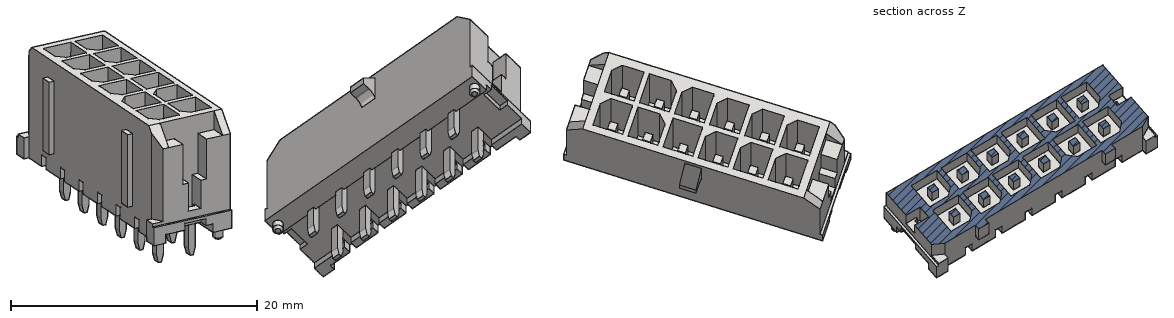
import cadquery as cq


length = 22.15
body_length = 21.7
core_length = 18.92
rear_y = 3.37
front_y = -3.5
proud_y = -3.96
height = 9.92
shoulder_z = 8.26
flange_height = 1.6
ear_height = 1.85
corner_bevel_x = 0.95
corner_bevel_y = 0.53

columns = 6
pin_span = 15.0
column_pitch = pin_span / (columns - 1)
row_pitch = 3.0
pin_width = 0.66
pin_top = 7.0
pin_shoulder_z = -2.48
pin_tip_z = -3.17
pin_tip_width = 0.29
pocket_width = 2.55
pocket_floor = 2.25
pocket_front = 1.3
pocket_rear = 1.28
rear_wall_draft = 0.07
key_size = 0.69
left_keyed_column = 4
plain_pocket = (3, 1)

end_opening_front = -2.44
end_opening_rear = 2.64
wide_slot_width = 2.22
wide_slot_floor = 4.75
narrow_slot_width = 1.15
narrow_slot_floor = 2.25
well_floor = 1.6
well_x = 9.83
well_throat_x = 10.1
well_throat_width = 0.8

channel_front = -2.84
channel_rear = 1.57
channel_height = 0.75
notch_height = 1.02
end_recess_depth = 0.8
end_recess_width = 2.0
end_recess_y = -0.05
end_recess_top = 1.35

rib_x = 6.33
rib_width = 1.02
latch_width = 1.42
latch_y = 4.8
latch_top = 9.3
latch_nose_top = 7.77
latch_nose_bottom = 6.95
latch_root_y = 4.16
latch_root_z = 6.45
peg_x = 10.5
peg_y = 2.4
peg_diameter = 0.86
peg_length = 0.89
peg_chamfer = 0.2

core_x = core_length / 2
body_x = body_length / 2
end_x = length / 2
bevel_x = body_x - corner_bevel_x
column_xs = [(i - (columns - 1) / 2) * column_pitch for i in range(columns)]
row_ys = [-row_pitch / 2, row_pitch / 2]
front_pin_face = row_ys[0] - pin_width / 2


def block(x0, x1, y0, y1, z0, z1):
    """Box between opposite corners."""
    return cq.Workplane("XY").box(x1 - x0, y1 - y0, z1 - z0, centered=False).translate((x0, y0, z0))


def both_ends(shape):
    """A shape at the +X end together with its mirror image at the -X end."""
    return shape.union(shape.mirror("YZ"))


def make_body():
    body = (
        cq.Workplane("XZ", origin=(0, rear_y, 0))
        .polyline([
            (-body_x, 0),
            (body_x, 0),
            (body_x, shoulder_z),
            (core_x, height),
            (-core_x, height),
            (-body_x, shoulder_z),
        ])
        .close()
        .extrude(rear_y - front_y)
    )
    corner_bevel = (
        cq.Workplane("XY", origin=(0, 0, ear_height))
        .polyline([(bevel_x, front_y), (body_x, front_y), (body_x, front_y + corner_bevel_y)])
        .close()
        .extrude(height - ear_height)
    )
    return body.cut(both_ends(corner_bevel))


def make_flange():
    flange = block(body_x, end_x, proud_y, rear_y, 0, flange_height)
    ear = block(bevel_x, body_x, proud_y, front_y, 0, ear_height)
    return both_ends(flange.union(ear))


def make_ribs():
    rib = block(rib_x - rib_width / 2, rib_x + rib_width / 2, proud_y, front_y, ear_height, shoulder_z)
    return both_ends(rib)


def make_latch():
    return (
        cq.Workplane("YZ", origin=(-latch_width / 2, 0, 0))
        .moveTo(rear_y, latch_top)
        .lineTo(latch_y, latch_nose_top)
        .lineTo(latch_y, latch_nose_bottom)
        .lineTo(latch_root_y, latch_nose_bottom)
        .tangentArcPoint((rear_y, latch_root_z), relative=False)
        .close()
        .extrude(latch_width)
    )


def make_pegs():
    peg = (
        cq.Workplane("XY", origin=(peg_x, peg_y, -peg_length))
        .circle(peg_diameter / 2)
        .extrude(peg_length)
        .faces("<Z")
        .chamfer(peg_chamfer)
    )
    return both_ends(peg)


def make_end_cuts():
    """Open top of each end, the stepped slot below it and the blind well in the slot floor."""
    wide = wide_slot_width / 2
    narrow = narrow_slot_width / 2
    throat = well_throat_width / 2
    cuts = block(core_x, end_x, end_opening_front, end_opening_rear, shoulder_z, height)
    cuts = cuts.union(block(core_x, end_x, -wide, wide, wide_slot_floor, height))
    cuts = cuts.union(block(core_x, end_x, -narrow, narrow, narrow_slot_floor, height))
    cuts = cuts.union(block(core_x, well_x, -narrow, narrow, well_floor, height))
    cuts = cuts.union(block(core_x, well_throat_x, -throat, throat, well_floor, height))
    return both_ends(cuts)


def make_underside_cuts():
    """Channel along the board side, notches from the front wall to the pins, and end recesses."""
    cuts = block(-end_x, end_x, channel_front, channel_rear, 0, channel_height)
    for x in column_xs:
        notch = block(x - pin_width / 2, x + pin_width / 2, front_y, front_pin_face, 0, notch_height)
        cuts = cuts.union(notch)
    recess = block(
        end_x - end_recess_depth,
        end_x,
        end_recess_y - end_recess_width / 2,
        end_recess_y + end_recess_width / 2,
        0,
        end_recess_top,
    )
    return cuts.union(both_ends(recess))


def make_pocket(x, y, key_side):
    """Pocket with its front corner cut off on the key side: +1 right, -1 left, 0 for no key."""
    half = pocket_width / 2
    depth = height - pocket_floor
    pocket = (
        cq.Workplane("YZ", origin=(x - half, y, pocket_floor))
        .polyline([
            (-pocket_front, 0),
            (pocket_rear - rear_wall_draft, 0),
            (pocket_rear, depth),
            (-pocket_front, depth),
        ])
        .close()
        .extrude(pocket_width)
    )
    if key_side == 0:
        return pocket
    key = (
        cq.Workplane("XY", origin=(x + key_side * half, y - pocket_front, pocket_floor))
        .polyline([(0, 0), (-key_side * key_size, 0), (0, key_size)])
        .close()
        .extrude(depth)
    )
    return pocket.cut(key)


def make_pin(x, y):
    """Square pin whose lower end tapers on its front and rear faces."""
    half = pin_width / 2
    tip = pin_tip_width / 2
    return (
        cq.Workplane("YZ", origin=(x - half, y, 0))
        .polyline([
            (-half, pin_top),
            (half, pin_top),
            (half, pin_shoulder_z),
            (tip, pin_tip_z),
            (-tip, pin_tip_z),
            (-half, pin_shoulder_z),
        ])
        .close()
        .extrude(pin_width)
    )


housing = make_body().union(make_flange()).union(make_ribs()).union(make_latch())
housing = housing.cut(make_end_cuts()).cut(make_underside_cuts()).union(make_pegs())

for column, pin_x in enumerate(column_xs):
    for row, pin_y in enumerate(row_ys):
        key_direction = -1 if column == left_keyed_column else 1
        if (column, row) == plain_pocket:
            key_direction = 0
        housing = housing.cut(make_pocket(pin_x, pin_y, key_direction))
        housing = housing.union(make_pin(pin_x, pin_y))

result = housing